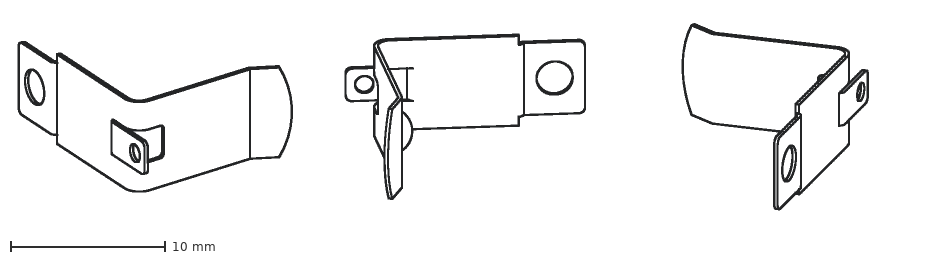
import cadquery as cq
import math

length = 15.57
depth = 12.25
width = 6.35
thickness = 0.25
step = thickness

jog_angle = 45.0
jog_run = step / math.sin(math.radians(jog_angle))

mount_width = 5.1
mount_flat = 3.97
mount_hole_x = 1.98
mount_hole_diameter = 2.35

terminal_width = 2.3
terminal_flat = 4.0
terminal_hole_inset = 1.21
terminal_hole_diameter = 1.2
tab_corner_radius = 0.4

base_start = mount_flat + jog_run
bend_x = 12.72
bend_outer_radius = 1.09
bend_inner_radius = bend_outer_radius - thickness
bend_y = step + bend_outer_radius
arm_lean = 6.0
kink_y = 9.65

window_start = length - terminal_flat - jog_run
window_top = 2.63
window_corner_radius = 0.31

tip_lean = 24.0
tip_crown = 0.84

dome_y = 7.75
dome_height = 1.01
dome_sphere_radius = 1.53
dome_root_radius = 0.37


def heading(degrees):
    """Unit vector in XY, measured from +X."""
    angle = math.radians(degrees)
    return cq.Vector(math.cos(angle), math.sin(angle), 0)


bend_center = cq.Vector(bend_x, bend_y, 0)
arm_normal = heading(arm_lean)
arm_direction = heading(90 + arm_lean)
tip_normal = heading(-tip_lean)
tip_direction = heading(90 - tip_lean)
bend_end = bend_center + arm_normal * bend_outer_radius
kink = bend_end + arm_direction * ((kink_y - bend_end.y) / arm_direction.y)


def xy(point):
    return (point.x, point.y)


def bend_point(radius, degrees):
    return xy(bend_center + heading(degrees) * radius)


def make_strip():
    """Base, bend and arm, ending in the rounded outside of the kink."""
    bend_middle = (arm_lean - 90) / 2
    kink_middle = (arm_lean - tip_lean) / 2
    return (
        cq.Workplane("XY")
        .moveTo(base_start, step)
        .lineTo(bend_x, step)
        .threePointArc(bend_point(bend_outer_radius, bend_middle), xy(bend_end))
        .lineTo(*xy(kink))
        .lineTo(*xy(kink - tip_normal * thickness))
        .threePointArc(
            xy(kink - heading(kink_middle) * thickness),
            xy(kink - arm_normal * thickness),
        )
        .lineTo(*bend_point(bend_inner_radius, arm_lean))
        .threePointArc(
            bend_point(bend_inner_radius, bend_middle),
            (bend_x, step + thickness),
        )
        .lineTo(base_start, step + thickness)
        .close()
        .extrude(width / 2, both=True)
    )


def make_window():
    """Opening through the base, the bend and the foot of the arm."""
    return (
        cq.Workplane("XY")
        .box(length - window_start, window_top, terminal_width, centered=(False, False, True))
        .translate((window_start, 0, 0))
        .edges("|X and >Y")
        .fillet(window_corner_radius)
    )


def make_tab(flat, tab_width, hole_inset, hole_diameter):
    """Drilled tab with its free end at X = 0 and a jog up to the base."""
    jog_end = flat + jog_run
    lower_pivot = cq.Vector(flat, thickness, 0)
    upper_pivot = cq.Vector(jog_end, step, 0)
    half_turn = heading(jog_angle / 2 - 90) * thickness
    full_turn = heading(jog_angle - 90) * thickness
    tab = (
        cq.Workplane("XY")
        .moveTo(0, 0)
        .lineTo(flat, 0)
        .threePointArc(xy(lower_pivot + half_turn), xy(lower_pivot + full_turn))
        .lineTo(*xy(upper_pivot))
        .lineTo(jog_end, step + thickness)
        .threePointArc(xy(upper_pivot - half_turn), xy(upper_pivot - full_turn))
        .lineTo(*xy(lower_pivot))
        .lineTo(0, thickness)
        .close()
        .extrude(tab_width / 2, both=True)
        .edges("|Y and <X")
        .fillet(tab_corner_radius)
    )
    hole = (
        cq.Workplane("XZ")
        .center(hole_inset, 0)
        .circle(hole_diameter / 2)
        .extrude(-thickness)
    )
    return tab.cut(hole)


def make_tip():
    """Flared plate with a crowned free edge."""
    reach = (depth - kink.y + thickness * tip_normal.y) / tip_direction.y
    side = reach - tip_crown
    plane = cq.Plane(origin=kink, xDir=tip_direction, normal=tip_normal * -1)
    return (
        cq.Workplane(plane)
        .moveTo(0, -width / 2)
        .lineTo(side, -width / 2)
        .threePointArc((reach, 0), (side, width / 2))
        .lineTo(0, width / 2)
        .close()
        .extrude(thickness)
    )


def make_dome():
    """Spherical cap blended into the arm by a concave root fillet."""
    inner_kink = kink - arm_normal * thickness
    center = inner_kink + arm_direction * ((dome_y - inner_kink.y) / arm_direction.y)
    plane = cq.Plane(origin=center, xDir=arm_direction, normal=(0, 0, 1))

    sphere_y = dome_height - dome_sphere_radius
    centers_rise = dome_root_radius - sphere_y
    centers_distance = dome_sphere_radius + dome_root_radius
    foot_radius = math.sqrt(centers_distance**2 - centers_rise**2)
    slope = math.asin(foot_radius / centers_distance)

    def on_sphere(angle):
        return (
            dome_sphere_radius * math.sin(angle),
            sphere_y + dome_sphere_radius * math.cos(angle),
        )

    def on_root(angle):
        return (
            foot_radius - dome_root_radius * math.sin(angle),
            dome_root_radius * (1 - math.cos(angle)),
        )

    return (
        cq.Workplane(plane)
        .moveTo(0, -thickness / 2)
        .lineTo(foot_radius, -thickness / 2)
        .lineTo(foot_radius, 0)
        .threePointArc(on_root(slope / 2), on_sphere(slope))
        .threePointArc(on_sphere(slope / 2), (0, dome_height))
        .close()
        .revolve(360, (0, 0, 0), (0, 1, 0))
    )


mount_tab = make_tab(mount_flat, mount_width, mount_hole_x, mount_hole_diameter)
terminal_tab = (
    make_tab(terminal_flat, terminal_width, terminal_hole_inset, terminal_hole_diameter)
    .mirror("YZ")
    .translate((length, 0, 0))
)

result = (
    make_strip()
    .cut(make_window())
    .union(mount_tab)
    .union(terminal_tab)
    .union(make_tip())
    .union(make_dome())
)